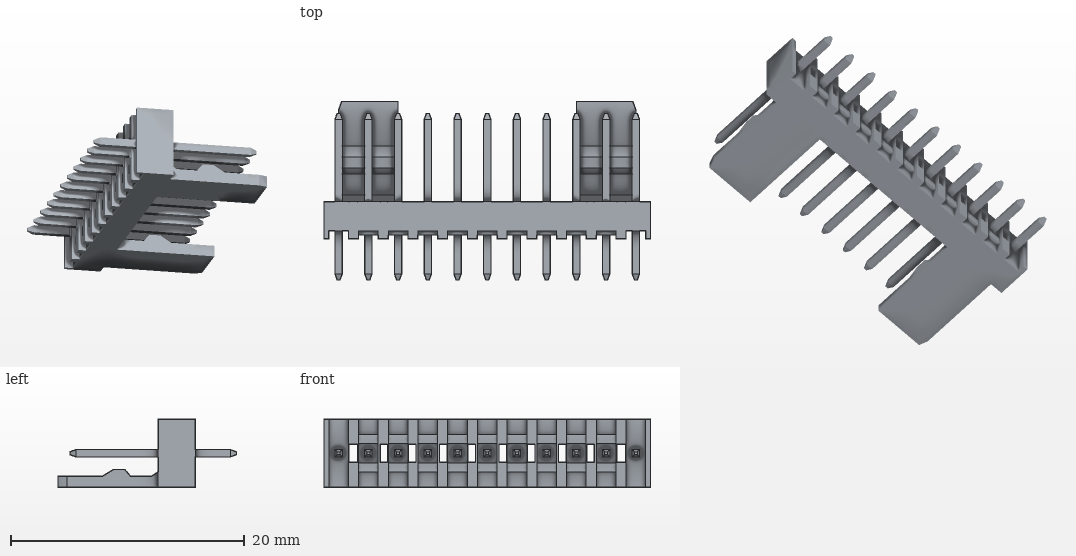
import cadquery as cq


housing_length = 27.95
housing_depth = 3.19
housing_height = 5.8
pin_count = 11
pitch = housing_length / pin_count
mid_height = housing_height / 2

slot_width = 1.68
slot_depth = 0.67

bar_height = 0.78
bar_thickness = 0.35
bar_gap = 1.65

window_height = 1.5
window_width = 0.61
end_window_width = 0.73
window_shift = 0.05

pin_size = 0.65
pin_tip_size = 0.25
pin_tip_length = 0.53
pin_front_reach = 3.52
pin_back_reach = 7.55

latch_reach = 8.55
latch_thickness = 0.95
latch_pin_span = 2
latch_overhang = 0.03
latch_bevel_width = 0.28
latch_bevel_length = 0.78
bump_height = 0.6
bump_near_foot = 2.35
bump_near_crest = 2.85
bump_far_crest = 3.8
bump_far_foot = 4.75
root_ramp_length = 0.55
root_ramp_height = 0.35


def pin_x(index):
    """X of a pin, counted from 0 at the -X end."""
    return (index - (pin_count - 1) / 2) * pitch


def block(x_center, width, y_start, depth, z_center, height):
    """Box centred in X and Z that runs from y_start toward +Y."""
    return (
        cq.Workplane("XY")
        .box(width, depth, height, centered=(True, False, True))
        .translate((x_center, y_start, z_center))
    )


def make_housing():
    housing = block(0, housing_length, 0, housing_depth, mid_height, housing_height)
    for index in range(pin_count):
        housing = housing.cut(
            block(pin_x(index), slot_width, 0, slot_depth, mid_height, housing_height)
        )
    return housing


def add_crossbars(housing):
    bar_offset = (bar_gap + bar_height) / 2
    bar_front = slot_depth - bar_thickness
    for index in range(1, pin_count - 1):
        for side in (-1, 1):
            bar_z = mid_height + side * bar_offset
            housing = housing.union(
                block(pin_x(index), slot_width, bar_front, bar_thickness, bar_z, bar_height)
            )
    return housing


def cut_windows(housing):
    """The end windows are wider; the others lean in pairs toward the pin between them."""
    rib_count = pin_count - 1
    for rib in range(rib_count):
        rib_x = pin_x(rib) + pitch / 2
        if rib in (0, rib_count - 1):
            window_x = rib_x
            width = end_window_width
        else:
            lean = 1 if rib % 2 else -1
            window_x = rib_x + lean * window_shift
            width = window_width
        housing = housing.cut(
            block(window_x, width, 0, housing_depth, mid_height, window_height)
        )
    return housing


def make_pin_tip(y_base, direction):
    """Tapered tip starting at y_base; direction is +1 toward +Y, -1 toward -Y."""
    base = cq.Plane(origin=(0, y_base, mid_height), xDir=(1, 0, 0), normal=(0, direction, 0))
    return (
        cq.Workplane(base)
        .rect(pin_size, pin_size)
        .workplane(offset=pin_tip_length)
        .rect(pin_tip_size, pin_tip_size)
        .loft(ruled=True)
    )


def make_pin():
    shank_front = pin_tip_length - pin_front_reach
    shank_back = housing_depth + pin_back_reach - pin_tip_length
    shank = block(0, pin_size, shank_front, shank_back - shank_front, mid_height, pin_size)
    return shank.union(make_pin_tip(shank_front, -1)).union(make_pin_tip(shank_back, 1))


def make_latch():
    """Latch arm at the -X end, from just outside the first pin's centre line to the third's."""
    outer_x = pin_x(0) - latch_overhang
    width = latch_pin_span * pitch + latch_overhang
    tip_y = housing_depth + latch_reach
    crest = latch_thickness + bump_height
    profile = [
        (0, 0),
        (0, latch_thickness + root_ramp_height),
        (root_ramp_length, latch_thickness),
        (bump_near_foot, latch_thickness),
        (bump_near_crest, crest),
        (bump_far_crest, crest),
        (bump_far_foot, latch_thickness),
        (latch_reach, latch_thickness),
        (latch_reach, 0),
    ]
    arm = (
        cq.Workplane("YZ", origin=(outer_x, housing_depth, 0))
        .polyline(profile)
        .close()
        .extrude(width)
    )
    corner_bevel = (
        cq.Workplane("XY")
        .moveTo(outer_x, tip_y)
        .lineTo(outer_x + latch_bevel_width, tip_y)
        .lineTo(outer_x, tip_y - latch_bevel_length)
        .close()
        .extrude(latch_thickness)
    )
    return arm.cut(corner_bevel)


result = cut_windows(add_crossbars(make_housing()))

pin = make_pin()
for pin_index in range(pin_count):
    result = result.union(pin.translate((pin_x(pin_index), 0, 0)))

latch = make_latch()
result = result.union(latch).union(latch.mirror("YZ"))